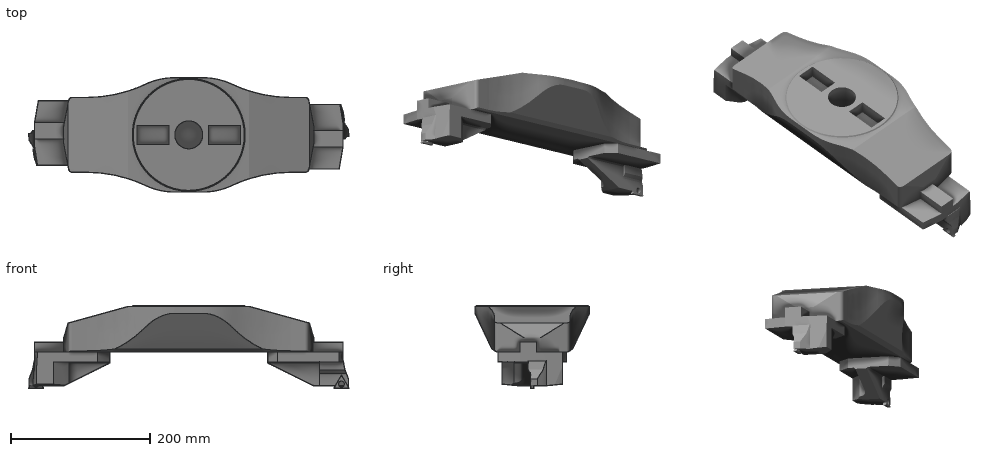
import cadquery as cq
import math

housing_top_z = 66.0
disc_top_z = 67.0
plate_bottom_z = -14.0
body_bottom_z = -48.5
insert_bottom_z = -52.0

housing_width = 164.0
middle_half_width = housing_width / 2
middle_half_length = 20.2
arm_half_width = 54.0
arm_start_x = 146.5
inflection_x = 62.0
nose_x = 179.5
nose_half_width = 12.0
shoulder_x = 172.5
corner_radius = 5.5

flat_half_length = 86.5
bevel_top_x = 173.0
bevel_top_z = 42.0
nose_top_z = 20.5

side_bottom_z = 55.5
slope_bottom_half_width = 58.0
slope_bottom_z = 4.5
base_half_width = 50.5

disc_diameter = 162.0
disc_taper = 45
bore_diameter = 40.0
bore_depth = 46.0
slot_inner_x = 28.0
slot_length = 46.0
slot_width = 27.0
slot_depth = 20.0

plate_inner_x = 113.0
plate_outer_x = 221.2
plate_back_y = 43.5
plate_front_y = -49.0
plate_back_chamfer = 18.0
plate_front_chamfer = 14.0
plate_front_outer_x = 215.5
rib_back_y = 6.0
rib_front_y = -17.5
rib_top_z = 14.3

leg_inner_x = 193.5
leg_foot_x = 171.5
leg_foot_y = 26.0
web_back_y = 14.5
web_front_y = -2.5
web_fillet = leg_foot_y - web_back_y
web_end_z = -15.5
web_bottom_x = 179.0
end_face_y = 15.0
end_normal = (1, 0.16, 0.066)
corner_relief_x = 218.0
corner_relief_normal = (1, 0.32, 0)
bottom_relief_normal = (0, 0.1, -1)
root_chamfer = 2.05

cartridge_inner_x = 187.5
cartridge_back_y = 20.2
cartridge_front_y = -6.0
cartridge_top_z = -13.0
cartridge_top_x = 221.5
step_z = -25.5
step_x = 224.0
step_foot_y = -2.8
step_foot_z = -30.5
face_top_z = -33.0
cartridge_tip_x = 229.0
cartridge_tip_z = -38.0
side_relief_y = 7.5
side_relief_normal = (1, 0.62, 0)

insert_side = 22.0
insert_tip_x = 230.0
insert_thickness = 4.5
insert_hole_diameter = 8.5

cutter_size = 552.0


def beyond(point, normal):
    """Large block that fills the space beyond a plane, for oblique cuts."""
    plane = cq.Plane(origin=point, normal=normal)
    return cq.Workplane(plane).rect(cutter_size, cutter_size).extrude(cutter_size)


def block(x_range, y_range, z_range):
    """Box given by its limits along X, Y and Z."""
    limits = (x_range, y_range, z_range)
    sizes = [high - low for low, high in limits]
    corner = tuple(low for low, high in limits)
    return cq.Workplane("XY").box(*sizes, centered=False).translate(corner)


def turned(body):
    """The same body on the opposite end of the housing."""
    return body.rotate((0, 0, 0), (0, 0, 1), 180)


def housing_plan():
    """Block with the curved sides and the angled noses of the housing."""
    curve_length = arm_start_x - middle_half_length
    curve_drop = middle_half_width - arm_half_width
    turn = 2 * math.atan(curve_drop / curve_length)
    convex_radius = (inflection_x - middle_half_length) / math.sin(turn)
    concave_radius = (arm_start_x - inflection_x) / math.sin(turn)

    def convex(angle):
        return (middle_half_length + convex_radius * math.sin(angle),
                middle_half_width - convex_radius * (1 - math.cos(angle)))

    def concave(angle):
        return (arm_start_x - concave_radius * math.sin(angle),
                arm_half_width + concave_radius * (1 - math.cos(angle)))

    nose_slope = (nose_x - shoulder_x) / (arm_half_width - corner_radius - nose_half_width)
    corner_x = nose_x - nose_slope * (arm_half_width - nose_half_width)
    quarter = (
        cq.Workplane("XY")
        .moveTo(0, 0)
        .lineTo(0, middle_half_width)
        .lineTo(middle_half_length, middle_half_width)
        .threePointArc(convex(turn / 2), convex(turn))
        .threePointArc(concave(turn / 2), concave(0))
        .lineTo(corner_x, arm_half_width)
        .lineTo(nose_x, nose_half_width)
        .lineTo(nose_x, 0)
        .close()
        .extrude(housing_top_z)
        .edges(cq.selectors.NearestToPointSelector((corner_x, arm_half_width, housing_top_z / 2)))
        .fillet(corner_radius)
    )
    half = quarter.union(quarter.mirror("XZ"))
    return half.union(half.mirror("YZ"))


def housing_profile():
    """Block with the sloped arms and bevelled noses of the housing."""
    right_half = [
        (nose_x, 0),
        (nose_x, nose_top_z),
        (bevel_top_x, bevel_top_z),
        (flat_half_length, housing_top_z),
    ]
    left_half = [(-x, z) for x, z in reversed(right_half)]
    return (
        cq.Workplane("XZ")
        .polyline(right_half + left_half)
        .close()
        .extrude(middle_half_width, both=True)
    )


def housing_section():
    """Block with the undercut sides of the housing."""
    back_half = [
        (base_half_width, 0),
        (slope_bottom_half_width, slope_bottom_z),
        (middle_half_width, side_bottom_z),
        (middle_half_width, housing_top_z),
    ]
    front_half = [(-y, z) for y, z in reversed(back_half)]
    return (
        cq.Workplane("YZ")
        .polyline(back_half + front_half)
        .close()
        .extrude(nose_x, both=True)
    )


def make_housing():
    body = housing_plan().intersect(housing_profile()).intersect(housing_section())

    disc = (
        cq.Workplane("XY", origin=(0, 0, housing_top_z))
        .circle(disc_diameter / 2)
        .extrude(disc_top_z - housing_top_z, taper=disc_taper)
    )
    bore = (
        cq.Workplane("XY", origin=(0, 0, disc_top_z))
        .circle(bore_diameter / 2)
        .extrude(-bore_depth)
    )
    body = body.union(disc).cut(bore)

    key_slot = block(
        (slot_inner_x, slot_inner_x + slot_length),
        (-slot_width / 2, slot_width / 2),
        (disc_top_z - slot_depth, disc_top_z),
    )
    rib_slot = make_rib()
    for cutter in (key_slot, rib_slot):
        body = body.cut(cutter).cut(turned(cutter))
    return body


def make_rib():
    """Guide rib of the slide, which runs in a slot of the housing."""
    return block((plate_inner_x, plate_outer_x), (rib_front_y, rib_back_y), (0, rib_top_z))


def make_slide():
    plate = (
        cq.Workplane("XY")
        .polyline([
            (plate_inner_x, plate_front_y + plate_front_chamfer),
            (plate_inner_x + plate_front_chamfer, plate_front_y),
            (plate_front_outer_x, plate_front_y),
            (plate_outer_x, rib_front_y),
            (plate_outer_x, plate_back_y),
            (plate_inner_x + plate_back_chamfer, plate_back_y),
            (plate_inner_x, plate_back_y - plate_back_chamfer),
        ])
        .close()
        .extrude(plate_bottom_z)
    )

    arc_step = web_fillet * math.sqrt(0.5)
    lower_body = (
        cq.Workplane("XY")
        .moveTo(plate_inner_x, web_front_y)
        .lineTo(cartridge_inner_x, web_front_y)
        .lineTo(cartridge_inner_x, cartridge_back_y)
        .lineTo(insert_tip_x, cartridge_back_y)
        .lineTo(insert_tip_x, plate_back_y)
        .lineTo(leg_inner_x, plate_back_y)
        .lineTo(leg_foot_x, leg_foot_y)
        .threePointArc(
            (leg_foot_x - web_fillet + arc_step, leg_foot_y - arc_step),
            (leg_foot_x - web_fillet, web_back_y),
        )
        .lineTo(plate_inner_x, web_back_y)
        .close()
        .extrude(body_bottom_z)
    )
    web_profile = (
        cq.Workplane("XZ")
        .polyline([
            (plate_inner_x, 0),
            (plate_inner_x, web_end_z),
            (web_bottom_x, body_bottom_z),
            (insert_tip_x, body_bottom_z),
            (insert_tip_x, 0),
        ])
        .close()
        .extrude(plate_back_y, both=True)
    )
    slide = plate.union(lower_body.intersect(web_profile))

    back_root_end_x = leg_foot_x - web_fillet
    for root_end_x, root_y in ((back_root_end_x, web_back_y), (cartridge_inner_x, web_front_y)):
        root_middle = ((plate_inner_x + root_end_x) / 2, root_y, plate_bottom_z)
        root = cq.selectors.NearestToPointSelector(root_middle)
        slide = slide.edges(root).chamfer(root_chamfer)

    slide = slide.cut(beyond((plate_outer_x, end_face_y, 0), end_normal))
    slide = slide.cut(beyond((corner_relief_x, plate_back_y, 0), corner_relief_normal))
    slide = slide.cut(beyond((0, cartridge_back_y, body_bottom_z), bottom_relief_normal))

    seat = block(
        (cartridge_inner_x, insert_tip_x),
        (cartridge_front_y, cartridge_back_y),
        (plate_bottom_z, cartridge_top_z),
    )
    return slide.union(make_rib()).cut(seat)


def insert_blank():
    """Triangular prism of the insert, flush with the cartridge face."""
    height = insert_side * math.sqrt(0.75)
    return (
        cq.Workplane("XZ", origin=(0, web_front_y, 0))
        .polyline([
            (insert_tip_x, insert_bottom_z),
            (insert_tip_x - insert_side, insert_bottom_z),
            (insert_tip_x - insert_side / 2, insert_bottom_z + height),
        ])
        .close()
        .extrude(-insert_thickness)
    )


def make_insert():
    centre_x = insert_tip_x - insert_side / 2
    centre_z = insert_bottom_z + insert_side / math.sqrt(12)
    hole = (
        cq.Workplane("XZ", origin=(centre_x, web_front_y, centre_z))
        .circle(insert_hole_diameter / 2)
        .extrude(-insert_thickness)
    )
    return insert_blank().cut(hole)


def make_cartridge():
    section = (
        cq.Workplane("YZ", origin=(cartridge_inner_x, 0, 0))
        .polyline([
            (cartridge_back_y, cartridge_top_z),
            (cartridge_front_y, cartridge_top_z),
            (cartridge_front_y, step_z),
            (step_foot_y, step_foot_z),
            (web_front_y, face_top_z),
            (web_front_y, body_bottom_z),
            (cartridge_back_y, body_bottom_z),
        ])
        .close()
        .extrude(cartridge_tip_x - cartridge_inner_x)
    )
    profile = (
        cq.Workplane("XZ")
        .polyline([
            (cartridge_inner_x, cartridge_top_z),
            (cartridge_top_x, cartridge_top_z),
            (step_x, step_z),
            (cartridge_tip_x, cartridge_tip_z),
            (cartridge_tip_x, body_bottom_z),
            (cartridge_inner_x, body_bottom_z),
        ])
        .close()
        .extrude(cartridge_back_y, both=True)
    )
    side_relief = beyond((cartridge_tip_x, side_relief_y, 0), side_relief_normal)
    return section.intersect(profile).cut(side_relief).cut(insert_blank())


housing = make_housing()
slide = make_slide()
cartridge = make_cartridge()
insert = make_insert()

bodies = [housing.solids().val()]
for body in (slide, cartridge, insert):
    bodies.append(body.solids().val())
    bodies.append(turned(body).solids().val())

result = cq.Compound.makeCompound(bodies)